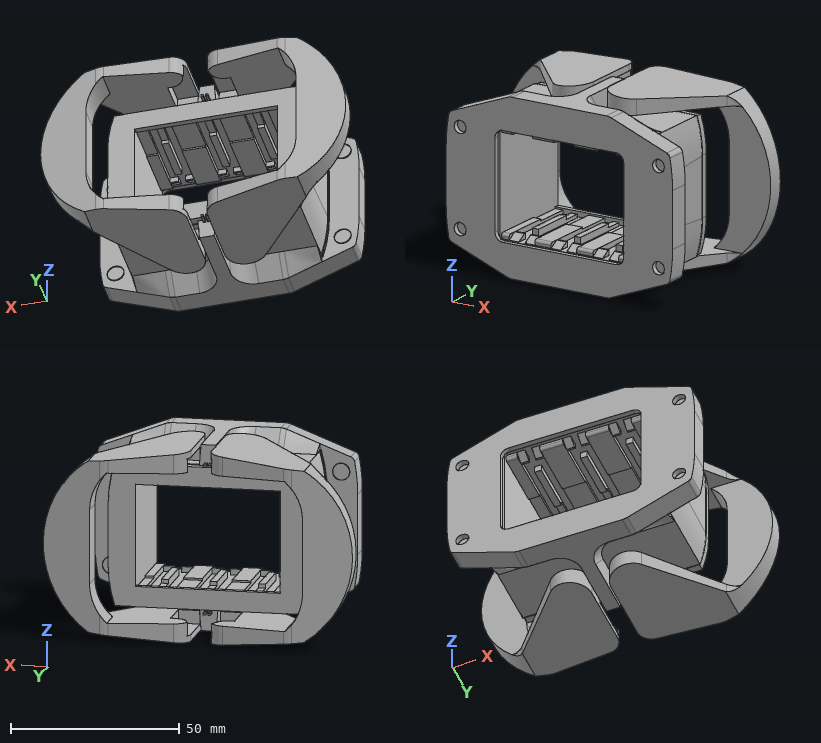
import cadquery as cq
import math


flange_thickness = 7.0
flange_half_width = 39.95
flange_side_flat = 9.2
flange_corner = (38.8, 20.2)
flange_shoulder = (17.5, 28.5)
flange_half_height = flange_shoulder[1]
flange_corner_radius = 1.9
flange_shoulder_radius = 4.7
hole_x, hole_z = 35.0, 16.0
hole_diameter = 4.1
hole_depth = 1.9
pad_diameter = 5.2
pad_height = 0.33

body_half_width = 30.55
body_edge_x = 28.6
body_half_height = 22.1
body_flat_front, body_flat_back = 8.2, 9.8
body_shoulder_y = 31.5
body_end_y = 34.0
neck_inset = 0.3
collar_height = 0.9
collar_overhang = 0.3

window_half_width, window_half_height = 22.7, 17.5
window_radius = 2.7
window_depth = 1.6
cavity_half_width, cavity_half_height = 22.0, 17.4
cavity_radius = 0.9
band_level = 15.6
rear_lip_thickness = 1.7

guide_pitch = 14.8
guide_width = 2.2
guide_half_width = guide_width / 2
guide_level = 15.0
guide_low_level = 16.3
guide_start_y, guide_step_y = 10.1, 25.6
guide_end_y = body_shoulder_y
floor_bay_half_width, roof_bay_half_width = 4.5, 3.7
band_start_y, band_step_y = 2.5, 20.1
band_low_level = 16.2
nose_radius = 0.9
ramp_end_y, ramp_back_y = 5.6, 6.2

slope_end_y = 12.2
slope_corner_x = 28.5
fin_half_tip, fin_half_root = 2.3, 2.8
fin_end_y = 32.9
flare_tip_radius, flare_root_radius = 6.9, 6.1
tab_end_y = 35.9
tab_inner_z, tab_outer_z = 22.3, 22.9
tab_groove_width = 0.7
tab_tip_radius = 0.24

lever_inner_x = 3.1
pivot_radius = 6.6
pivot_x = lever_inner_x + pivot_radius
pivot_y = 23.8
pivot_disc_diameter = 6.8
lever_inner_z = tab_outer_z
lever_height = 58.4
lever_outer_z = lever_height / 2
lever_bend_x, lever_bend_z = 32.8, 26.2
bail_tip_x = 47.0
bail_under_y, bail_top_y = 43.3, 48.8
lever_peak = (27.9, 52.1)
lever_peak_radius = 7.5
lever_shoulder_y = 48.0
lever_shoulder_radius = 5.2
lever_lower_angle = math.radians(50)
lever_lower_radius = 5.8

bail_inner_x, bail_inner_flat = 32.3, 11.3
bail_inner_end_x = 27.0
pocket_roof_z = 27.1
pocket_front_y, pocket_back_y = pivot_y + pivot_radius, 41.6
pocket_nose_radius = 4.3
pocket_nose_x = 8.5

OVERLAP = 0.5


def box(x0, x1, y0, y1, z0, z1):
    return cq.Workplane("XY").box(x1 - x0, y1 - y0, z1 - z0, centered=False).translate((x0, y0, z0))


def plane_at(y):
    """Sketch plane with local axes X and Z at depth y; its normal is -Y."""
    return cq.Workplane("XZ", origin=(0, y, 0))


def mirrored(shape, plane):
    return shape.union(shape.mirror(plane))


def arc_midpoint(start, end):
    """Middle of the arc that leaves start along Z and reaches end."""
    dx, dz = end[0] - start[0], end[1] - start[1]
    radius = (dx * dx + dz * dz) / (2 * abs(dx))
    sagitta = radius - math.sqrt(radius * radius - dz * dz / 4)
    return (start[0] + math.copysign(sagitta, dx), start[1] + dz / 2)


def bulged_outline(y, half_width, side_flat, shoulders):
    """Symmetric outline whose sides are flat in the middle and bow in towards the shoulders."""
    bulge_start = (half_width, side_flat)
    bulge_middle = arc_midpoint(bulge_start, shoulders[0])
    sketch = plane_at(y).moveTo(half_width, -side_flat).lineTo(*bulge_start)
    sketch = sketch.threePointArc(bulge_middle, shoulders[0])
    for x, z in shoulders[1:]:
        sketch = sketch.lineTo(x, z)
    for x, z in reversed(shoulders):
        sketch = sketch.lineTo(-x, z)
    sketch = sketch.threePointArc((-bulge_middle[0], bulge_middle[1]), (-half_width, side_flat))
    sketch = sketch.lineTo(-half_width, -side_flat)
    sketch = sketch.threePointArc(
        (-bulge_middle[0], -bulge_middle[1]), (-shoulders[0][0], -shoulders[0][1])
    )
    for x, z in shoulders[1:]:
        sketch = sketch.lineTo(-x, -z)
    for x, z in reversed(shoulders):
        sketch = sketch.lineTo(x, -z)
    return sketch.threePointArc((bulge_middle[0], -bulge_middle[1]), (half_width, -side_flat)).close()


def loft_between(first, second):
    wires = [first.wires().val(), second.wires().val()]
    return cq.Workplane("XY").add(cq.Solid.makeLoft(wires, True))


def make_flange():
    shoulders = [flange_corner, flange_shoulder]
    outline = bulged_outline(0, flange_half_width, flange_side_flat, shoulders)
    plate = outline.extrude(-flange_thickness)
    for sign_x in (-1, 1):
        for sign_z in (-1, 1):
            for (x, z), radius in (
                (flange_corner, flange_corner_radius),
                (flange_shoulder, flange_shoulder_radius),
            ):
                low = (sign_x * x - OVERLAP, -OVERLAP, sign_z * z - OVERLAP)
                high = (sign_x * x + OVERLAP, flange_thickness + OVERLAP, sign_z * z + OVERLAP)
                plate = plate.edges("|Y").edges(cq.selectors.BoxSelector(low, high)).fillet(radius)
    centres = [(sx * hole_x, sz * hole_z) for sx in (-1, 1) for sz in (-1, 1)]
    pads = plane_at(flange_thickness).pushPoints(centres).circle(pad_diameter / 2).extrude(-pad_height)
    holes = plane_at(0).pushPoints(centres).circle(hole_diameter / 2).extrude(-hole_depth)
    return plate.union(pads).cut(holes)


def make_body():
    def section(y, flat, offset=0.0):
        corner = (body_edge_x + offset, body_half_height + offset)
        return bulged_outline(y, body_half_width + offset, flat, [corner])

    tube = loft_between(
        section(flange_thickness - OVERLAP, body_flat_front),
        section(body_shoulder_y, body_flat_back),
    )
    neck = section(body_shoulder_y - OVERLAP, body_flat_back, -neck_inset)
    neck = neck.extrude(body_shoulder_y - OVERLAP - body_end_y)
    collar = section(flange_thickness - OVERLAP, body_flat_front, collar_overhang)
    collar = collar.extrude(-OVERLAP - collar_height)
    return tube.union(neck).union(collar)


def make_slope():
    """Upper backing that runs from the flange edge down to the body roof."""
    run = (flange_shoulder[0] - flange_corner[0]) / (flange_shoulder[1] - flange_corner[1])
    corner_z = flange_shoulder[1] + (slope_corner_x - flange_shoulder[0]) / run
    base_z = body_half_height - OVERLAP
    turn = math.atan(-1 / run)
    blend = flange_shoulder_radius * math.tan(turn / 2)
    blend_outer_x = flange_shoulder[0] + blend * math.cos(turn)
    blend_outer_z = flange_shoulder[1] - blend * math.sin(turn)
    blend_inner_x = flange_shoulder[0] - blend
    right_outer = [
        (slope_corner_x, base_z),
        (slope_corner_x, corner_z),
        (blend_outer_x, blend_outer_z),
        (blend_inner_x, flange_half_height),
    ]
    right_inner = [
        (slope_corner_x, base_z),
        (slope_corner_x, body_half_height),
        (blend_outer_x, body_half_height),
        (blend_inner_x, body_half_height),
    ]

    def section(y, right):
        left = [(-x, z) for x, z in reversed(right)]
        return plane_at(y).polyline(right + left).close()

    return loft_between(section(flange_thickness, right_outer), section(slope_end_y, right_inner))


def make_fin():
    """Upper centre fin, flared where it meets the flange and the slope."""
    def section(z, half, radius, flare_y, end_y):
        reach = half + radius
        bend = radius * (1 - math.sqrt(0.5))
        return (
            cq.Workplane("XY", origin=(0, 0, z))
            .moveTo(-reach, flange_thickness - OVERLAP)
            .lineTo(-reach, flare_y)
            .threePointArc((-half - bend, flare_y + bend), (-half, flare_y + radius))
            .lineTo(-half, end_y)
            .lineTo(half, end_y)
            .lineTo(half, flare_y + radius)
            .threePointArc((half + bend, flare_y + bend), (reach, flare_y))
            .lineTo(reach, flange_thickness - OVERLAP)
            .close()
        )

    fin = loft_between(
        section(body_half_height, fin_half_root, flare_root_radius, slope_end_y, fin_end_y),
        section(flange_half_height, fin_half_tip, flare_tip_radius, flange_thickness, fin_end_y),
    )
    tab = box(-guide_half_width, guide_half_width, fin_end_y - OVERLAP, tab_end_y, tab_inner_z, tab_outer_z)
    half_groove = tab_groove_width / 2
    groove = box(-half_groove, half_groove, fin_end_y, tab_end_y, tab_inner_z, tab_outer_z)
    tab = tab.cut(groove).faces(">Y").edges("|Z").fillet(tab_tip_radius)
    return fin.union(tab)


def make_lever():
    """One lever: two arms joined by a curved bail at the outer end."""
    tangent_x = pivot_x + pivot_radius * math.sin(lever_lower_angle)
    tangent_y = pivot_y - pivot_radius * math.cos(lever_lower_angle)
    elbow_x = tangent_x + (bail_under_y - tangent_y) / math.tan(lever_lower_angle)
    side = (
        cq.Workplane("XY", origin=(0, 0, -lever_outer_z))
        .moveTo(lever_inner_x, pivot_y)
        .threePointArc((pivot_x, pivot_y - pivot_radius), (tangent_x, tangent_y))
        .lineTo(elbow_x, bail_under_y)
        .lineTo(bail_tip_x, bail_under_y)
        .lineTo(bail_tip_x, bail_top_y)
        .lineTo(*lever_peak)
        .lineTo(lever_inner_x, lever_shoulder_y)
        .close()
        .extrude(lever_height)
    )
    for corner_x, corner_y, radius in (
        (elbow_x, bail_under_y, lever_lower_radius),
        (*lever_peak, lever_peak_radius),
        (lever_inner_x, lever_shoulder_y, lever_shoulder_radius),
    ):
        low = (corner_x - OVERLAP, corner_y - OVERLAP, -OVERLAP)
        high = (corner_x + OVERLAP, corner_y + OVERLAP, OVERLAP)
        side = side.edges("|Z").edges(cq.selectors.BoxSelector(low, high)).fillet(radius)

    plan = (
        plane_at(0)
        .moveTo(lever_inner_x, -lever_outer_z)
        .lineTo(lever_bend_x, -lever_bend_z)
        .threePointArc((bail_tip_x, 0), (lever_bend_x, lever_bend_z))
        .lineTo(lever_inner_x, lever_outer_z)
        .close()
        .extrude(-lever_peak[1])
    )

    under_gap = box(0, bail_tip_x, 0, bail_under_y, -lever_inner_z, lever_inner_z)
    inner_flat_top = (bail_inner_x, bail_inner_flat)
    inner_end = (bail_inner_end_x, lever_inner_z)
    inner_middle = arc_midpoint(inner_flat_top, inner_end)
    inner_gap = (
        plane_at(0)
        .moveTo(0, -lever_inner_z)
        .lineTo(bail_inner_end_x, -lever_inner_z)
        .threePointArc((inner_middle[0], -inner_middle[1]), (bail_inner_x, -bail_inner_flat))
        .lineTo(*inner_flat_top)
        .threePointArc(inner_middle, inner_end)
        .lineTo(0, lever_inner_z)
        .close()
        .extrude(-lever_peak[1])
    )

    nose_offset = pocket_nose_radius * math.sqrt(0.5)
    pocket = (
        cq.Workplane("XY", origin=(0, 0, lever_inner_z))
        .moveTo(lever_inner_x - OVERLAP, pocket_front_y)
        .lineTo(pivot_x, pocket_front_y)
        .lineTo(pivot_x, pocket_back_y)
        .lineTo(pocket_nose_x, pocket_back_y)
        .threePointArc(
            (pocket_nose_x - nose_offset, pocket_back_y + pocket_nose_radius - nose_offset),
            (pocket_nose_x - pocket_nose_radius, pocket_back_y + pocket_nose_radius),
        )
        .lineTo(lever_inner_x - OVERLAP, pocket_back_y + pocket_nose_radius)
        .close()
        .extrude(pocket_roof_z - lever_inner_z)
    )

    disc = (
        cq.Workplane("XY", origin=(pivot_x, pivot_y, body_half_height - OVERLAP))
        .circle(pivot_disc_diameter / 2)
        .extrude(lever_inner_z - body_half_height + 2 * OVERLAP)
    )
    frame = side.intersect(plan).cut(under_gap).cut(inner_gap).cut(mirrored(pocket, "XY"))
    return frame.union(mirrored(disc, "XY"))


def make_cavity():
    def rounded_hole(y0, y1, half_width, half_height, radius):
        block = plane_at(y0).rect(2 * half_width, 2 * half_height).extrude(y0 - y1)
        return block.edges("|Y").fillet(radius)

    window = rounded_hole(0, window_depth, window_half_width, window_half_height, window_radius)
    main_end = body_end_y - rear_lip_thickness
    main = rounded_hole(window_depth, main_end, cavity_half_width, cavity_half_height, cavity_radius)
    rear = box(-cavity_half_width, cavity_half_width, 0, body_end_y, -band_level, band_level)
    return window.union(main).union(rear)


def make_guides(bay_half_width):
    """Ribs, ramps and raised bands that stand on the cavity floor."""
    base = -cavity_half_height - OVERLAP
    rear_y = body_end_y - OVERLAP
    rib_centres = [i * guide_pitch for i in (-1, 0, 1)]
    ramp_profile = [
        (band_start_y, base),
        (band_start_y, -cavity_half_height),
        (ramp_end_y, -band_level),
        (ramp_back_y, -band_level),
        (ramp_back_y, base),
    ]

    bands = []
    left = -cavity_half_width - OVERLAP
    band_ends = [x - bay_half_width for x in rib_centres] + [cavity_half_width + OVERLAP]
    for right in band_ends:
        nose = box(left, right, band_start_y, band_step_y, base, -band_level)
        nose = nose.edges("<Y and >Z").fillet(nose_radius)
        bands.append(nose.union(box(left, right, band_step_y - OVERLAP, rear_y, base, -band_low_level)))
        left = right + 2 * bay_half_width

    guides = bands[0]
    for band in bands[1:]:
        guides = guides.union(band)
    for x in rib_centres:
        x0, x1 = x - guide_half_width, x + guide_half_width
        guides = guides.union(box(x0, x1, guide_start_y, guide_step_y, base, -guide_level))
        guides = guides.union(box(x0, x1, guide_step_y - OVERLAP, guide_end_y, base, -guide_low_level))
        ramp_width = bay_half_width - guide_half_width
        for start in (x - bay_half_width, x1):
            ramp = cq.Workplane("YZ", origin=(start, 0, 0)).polyline(ramp_profile).close()
            guides = guides.union(ramp.extrude(ramp_width))
    return guides


lever = make_lever()
shell = make_flange().union(make_body())
shell = shell.union(mirrored(make_slope(), "XY")).union(mirrored(make_fin(), "XY"))
shell = shell.cut(make_cavity())
shell = shell.union(make_guides(floor_bay_half_width))
shell = shell.union(make_guides(roof_bay_half_width).mirror("XY"))
result = shell.union(lever).union(lever.mirror("YZ"))